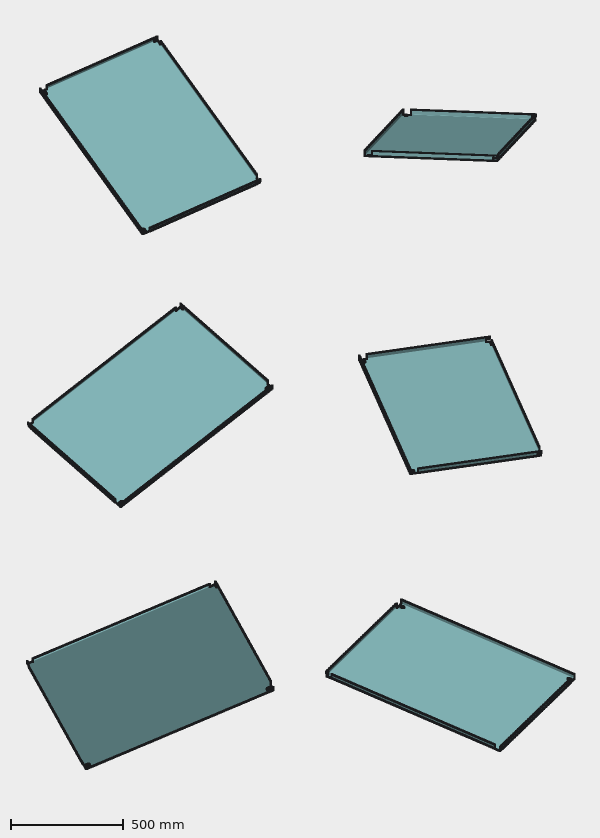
import cadquery as cq

length = 931.0
width = 600.0
height = 25.0

thickness = 1.5
inner_radius = 1.4
outer_radius = inner_radius + thickness

side_flange_front_gap = 34.0
rear_flange_end_gap = 29.0
rear_tab_inset = 1.0
notch_depth = 18.0
notch_top = 15.0

slot_length = 19.0
slot_width = 10.0
slot_edge_distance = 19.0
slot_front_distance = 17.0

half_length = length / 2
half_width = width / 2
flat_length = length - 2 * outer_radius
flat_width = width - 2 * outer_radius


def flange_section(plane):
    """Section of a bend and upright wall, starting at the bend line and folding toward local +X."""
    return (
        cq.Workplane(plane)
        .radiusArc((outer_radius, outer_radius), -outer_radius)
        .lineTo(outer_radius, height)
        .lineTo(inner_radius, height)
        .lineTo(inner_radius, outer_radius)
        .radiusArc((0, thickness), inner_radius)
        .close()
    )


def flange(start, outward, run):
    """Extrude a flange from its starting bend-line point, to the right of its outward direction."""
    run_direction = cq.Vector(*outward).cross(cq.Vector(0, 0, 1))
    plane = cq.Plane(origin=start, xDir=outward, normal=run_direction.toTuple())
    return flange_section(plane).extrude(run)


floor = cq.Workplane("XY").box(flat_length, flat_width, thickness, centered=(True, True, False))

front_flange = flange((flat_length / 2, -flat_width / 2, 0), (0, -1, 0), flat_length)
rear_flange_run = length - 2 * rear_flange_end_gap
rear_flange = flange((-rear_flange_run / 2, flat_width / 2, 0), (0, 1, 0), rear_flange_run)

side_flange_run = width - side_flange_front_gap
side_front_y = side_flange_front_gap - half_width
left_flange = flange((-flat_length / 2, side_front_y, 0), (-1, 0, 0), side_flange_run)
right_flange = flange((flat_length / 2, half_width, 0), (1, 0, 0), side_flange_run)

tray = floor.union(front_flange).union(rear_flange).union(left_flange).union(right_flange)

tab_length = rear_flange_end_gap - outer_radius
tab_depth = outer_radius - rear_tab_inset
for side in (-1, 1):
    tab = cq.Workplane("XY").box(tab_length, tab_depth, thickness, centered=(True, False, False))
    tab_x = side * (flat_length - tab_length) / 2
    tray = tray.union(tab.translate((tab_x, flat_width / 2, 0)))

for side in (-1, 1):
    notch = cq.Workplane("XY").box(outer_radius, notch_depth, notch_top, centered=(True, False, False))
    notch_x = side * (half_length - outer_radius / 2)
    tray = tray.cut(notch.translate((notch_x, half_width - notch_depth, 0)))

slot_x = half_length - slot_edge_distance
slot_y = slot_front_distance - half_width
slots = (
    cq.Workplane("XY")
    .pushPoints([(-slot_x, slot_y), (slot_x, slot_y)])
    .slot2D(slot_length, slot_width)
    .extrude(thickness)
)

result = tray.cut(slots)